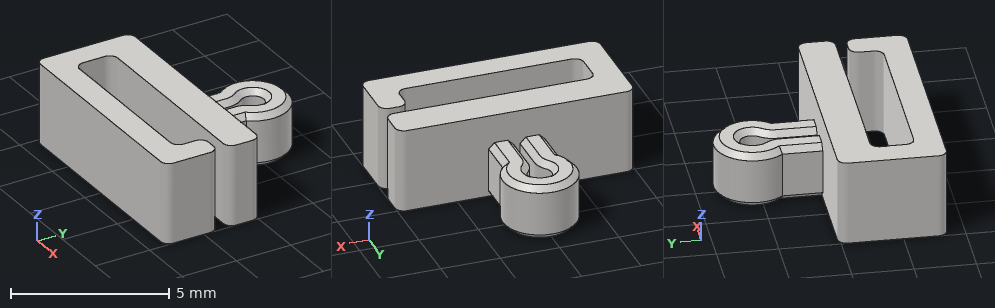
import cadquery as cq
import math

body_length = 8.0
body_depth = 3.5
body_height = 2.9
wall = 0.9
back_arm = 1.2
mouth_gap = 0.35
corner_radius = 0.3

total_depth = 6.85
clip_height = 1.9
ring_outer_radius = 1.25
ring_inner_radius = 0.4
slit_half_width = 0.1
clip_chamfer = 0.2
leg_embed = 0.4

band = ring_outer_radius - ring_inner_radius
leg_outer = slit_half_width + band
ring_x = body_length / 2
ring_y = total_depth - ring_outer_radius
neck_drop = math.sqrt(ring_outer_radius**2 - leg_outer**2)


def make_body():
    slot_back = body_depth - back_arm
    lip_top = slot_back - mouth_gap
    lip_inner = body_length - wall
    outline = [
        (0, 0),
        (body_length, 0),
        (body_length, lip_top),
        (lip_inner, lip_top),
        (lip_inner, wall),
        (wall, wall),
        (wall, slot_back),
        (body_length, slot_back),
        (body_length, body_depth),
        (0, body_depth),
    ]
    block = cq.Workplane("XY").polyline(outline).close().extrude(body_height)
    return block.edges("|Z").fillet(corner_radius)


def make_clip():
    leg_end = body_depth - leg_embed - ring_y

    bore_scale = ring_inner_radius / ring_outer_radius
    bore_x = leg_outer * bore_scale
    bore_y = -neck_drop * bore_scale
    half_turn = math.atan2(neck_drop, leg_outer) / 2
    neck_x = leg_outer - band * math.cos(half_turn)
    neck_y = -neck_drop + band * math.sin(half_turn)

    profile = (
        cq.Workplane("XY", origin=(ring_x, ring_y, 0))
        .moveTo(-leg_outer, leg_end)
        .lineTo(-leg_outer, -neck_drop)
        .threePointArc((0, ring_outer_radius), (leg_outer, -neck_drop))
        .lineTo(leg_outer, leg_end)
        .lineTo(slit_half_width, leg_end)
        .lineTo(slit_half_width, -neck_drop)
        .threePointArc((neck_x, neck_y), (bore_x, bore_y))
        .threePointArc((0, ring_inner_radius), (-bore_x, bore_y))
        .threePointArc((-neck_x, neck_y), (-slit_half_width, -neck_drop))
        .lineTo(-slit_half_width, leg_end)
        .close()
    )
    return profile.extrude(clip_height).faces("|Z").edges().chamfer(clip_chamfer)


result = make_body().union(make_clip())